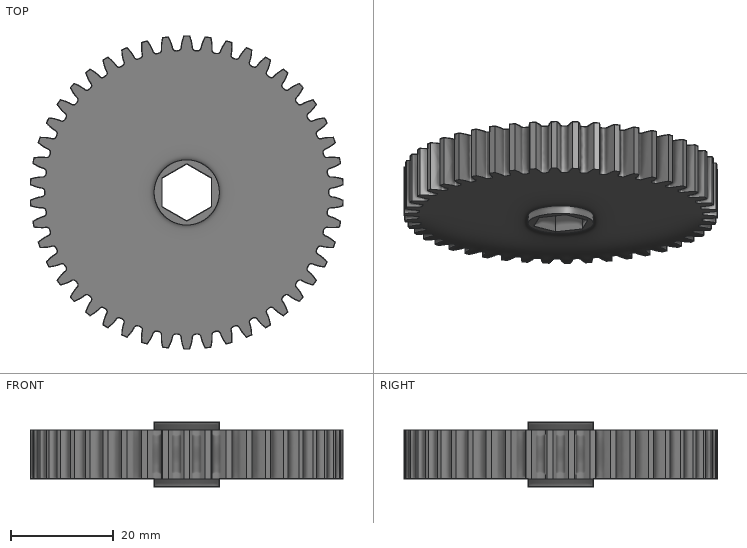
import cadquery as cq
import math

INCH = 25.4
TEETH = 46
DIAMETRAL_PITCH = 20
PRESSURE_ANGLE = math.radians(14.5)
DEDENDUM_FACTOR = 1.25
BACKLASH = 0.08
FLANK_SPANS = 4

TOTAL_HEIGHT = 12.6
FACE_WIDTH = 9.525
HUB_DIAMETER = 12.7
HEX_ACROSS_FLATS = 9.6

module = INCH / DIAMETRAL_PITCH
pitch_radius = module * TEETH / 2
tip_radius = pitch_radius + module
root_radius = pitch_radius - DEDENDUM_FACTOR * module
base_radius = pitch_radius * math.cos(PRESSURE_ANGLE)
hex_corner_diameter = HEX_ACROSS_FLATS / math.cos(math.radians(30))

tooth_angle = 2 * math.pi / TEETH
pitch_half_angle = tooth_angle / 4 - BACKLASH / (2 * pitch_radius)
base_half_angle = pitch_half_angle + math.tan(PRESSURE_ANGLE) - PRESSURE_ANGLE


def polar(radius, angle):
    return radius * math.cos(angle), radius * math.sin(angle)


def involute_angle(length):
    """Angle swept by an involute once the given length of string has unwound."""
    roll = length / base_radius
    return roll - math.atan(roll)


root_fillet = (base_radius**2 - root_radius**2) / (2 * root_radius)
fillet_centre_radius = root_radius + root_fillet
fillet_centre_angle = base_half_angle + math.asin(root_fillet / fillet_centre_radius)
flank_string_length = math.sqrt(tip_radius**2 - base_radius**2)


def flank_points(centre_angle, side):
    """Points from base circle to tip on one flank; side is +1 or -1 around the tooth's centre line."""
    points = []
    for i in range(FLANK_SPANS + 1):
        length = flank_string_length * i / FLANK_SPANS
        angle = base_half_angle - involute_angle(length)
        points.append(polar(math.hypot(base_radius, length), centre_angle + side * angle))
    return points


def fillet_middle(centre_angle, side):
    """Point halfway along the root fillet of one flank."""
    angle = centre_angle + side * fillet_centre_angle
    centre_x, centre_y = polar(fillet_centre_radius, angle)
    root_x, root_y = polar(root_radius, angle)
    flank_x, flank_y = flank_points(centre_angle, side)[0]
    chord_x = (root_x + flank_x) / 2 - centre_x
    chord_y = (root_y + flank_y) / 2 - centre_y
    stretch = root_fillet / math.hypot(chord_x, chord_y)
    return centre_x + chord_x * stretch, centre_y + chord_y * stretch


def add_tooth_and_gap(outline, centre_angle):
    """Continue the outline over one tooth tip, then down, along and up the gap that follows."""
    next_angle = centre_angle + tooth_angle
    falling_flank = flank_points(centre_angle, 1)[::-1]
    rising_flank = flank_points(next_angle, -1)
    root = [
        fillet_middle(centre_angle, 1),
        polar(root_radius, centre_angle + tooth_angle / 2),
        fillet_middle(next_angle, -1),
    ]
    outline = outline.threePointArc(polar(tip_radius, centre_angle), falling_flank[0])
    return outline.spline(falling_flank[1:] + root + rising_flank, includeCurrent=True)


def make_gear_body():
    first_tooth_angle = math.pi / 2
    start = flank_points(first_tooth_angle, -1)[-1]
    outline = cq.Workplane("XY").workplane(offset=-FACE_WIDTH / 2).moveTo(*start)
    for i in range(TEETH):
        outline = add_tooth_and_gap(outline, first_tooth_angle + i * tooth_angle)
    return outline.close().extrude(FACE_WIDTH)


def make_hub():
    return cq.Workplane("XY").circle(HUB_DIAMETER / 2).extrude(TOTAL_HEIGHT / 2, both=True)


def make_hex_bore():
    """Hexagonal through bore with two corners on the Y axis."""
    bore = cq.Workplane("XY").polygon(6, hex_corner_diameter).extrude(TOTAL_HEIGHT, both=True)
    return bore.rotate((0, 0, 0), (0, 0, 1), 90)


result = make_gear_body().union(make_hub()).cut(make_hex_bore())